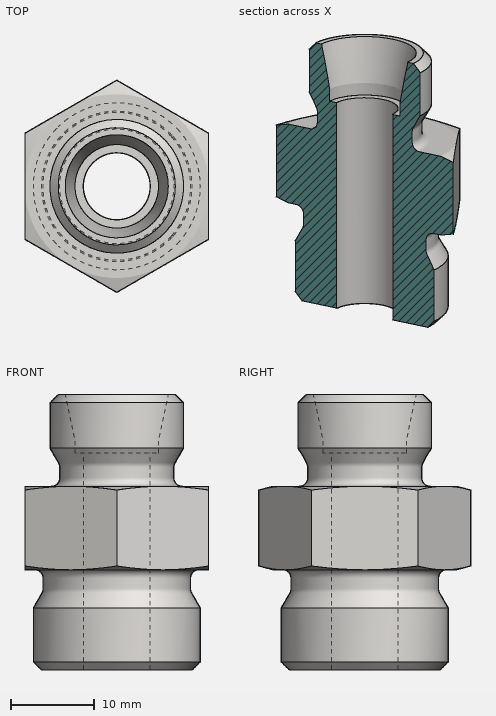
import cadquery as cq
import math

total_height = 33.0
hex_bottom = 12.0
hex_top = 22.0

across_flats = 22.0
across_corners = across_flats / math.cos(math.radians(30))
hex_chamfer_angle = 15.0

upper_thread_diameter = 16.0
upper_neck_diameter = 13.7
lower_thread_diameter = 20.0
lower_neck_diameter = 17.7
undercut_width = 4.55
undercut_fillet = 1.0
undercut_cone_angle = 30.0
end_chamfer = 1.0

bore_diameter = 8.0
socket_diameter = 10.0
socket_depth = 7.0
seat_mouth_diameter = 12.35
seat_half_angle = 12.0


def revolve_about_z(profile):
    """Turn a closed (radius, height) profile about the Z axis."""
    return profile.close().revolve(360, (0, 0, 0), (0, 1, 0))


def make_stud(thread_diameter, neck_diameter, length):
    """Stud rising from z = 0: filleted undercut, conical run-out, thread cylinder, end chamfer."""
    thread_radius = thread_diameter / 2
    neck_radius = neck_diameter / 2
    fillet = undercut_fillet
    cone = math.radians(undercut_cone_angle)
    diagonal = math.sqrt(0.5)

    center_radius = neck_radius + fillet
    cone_corner = undercut_width - (thread_radius - neck_radius) / math.tan(cone)
    neck_end = cone_corner - fillet * math.tan(cone / 2)

    def upper_fillet_point(angle):
        return (center_radius - fillet * math.cos(angle), neck_end + fillet * math.sin(angle))

    profile = (
        cq.Workplane("XZ")
        .moveTo(0, 0)
        .lineTo(center_radius, 0)
        .threePointArc(
            (center_radius - fillet * diagonal, fillet - fillet * diagonal),
            (neck_radius, fillet),
        )
        .lineTo(neck_radius, neck_end)
        .threePointArc(upper_fillet_point(cone / 2), upper_fillet_point(cone))
        .lineTo(thread_radius, undercut_width)
        .lineTo(thread_radius, length - end_chamfer)
        .lineTo(thread_radius - end_chamfer, length)
        .lineTo(0, length)
    )
    return revolve_about_z(profile)


def make_hexagon():
    """Hexagon whose corners are turned down by a shallow cone at both ends."""
    prism = (
        cq.Workplane("XY", origin=(0, 0, hex_bottom))
        .polygon(6, across_corners)
        .extrude(hex_top - hex_bottom)
        .rotate((0, 0, 0), (0, 0, 1), 30)
    )
    face_radius = across_flats / 2
    corner_radius = across_corners / 2
    corner_drop = (corner_radius - face_radius) * math.tan(math.radians(hex_chamfer_angle))
    envelope = (
        cq.Workplane("XZ")
        .moveTo(0, hex_bottom)
        .lineTo(face_radius, hex_bottom)
        .lineTo(corner_radius, hex_bottom + corner_drop)
        .lineTo(corner_radius, hex_top - corner_drop)
        .lineTo(face_radius, hex_top)
        .lineTo(0, hex_top)
    )
    return prism.intersect(revolve_about_z(envelope))


def make_bore():
    """Through bore, flat-bottomed tube socket and tapered seat."""
    bore_radius = bore_diameter / 2
    socket_radius = socket_diameter / 2
    mouth_radius = seat_mouth_diameter / 2
    seat_depth = (mouth_radius - socket_radius) / math.tan(math.radians(seat_half_angle))
    socket_floor = total_height - socket_depth
    profile = (
        cq.Workplane("XZ")
        .moveTo(0, 0)
        .lineTo(bore_radius, 0)
        .lineTo(bore_radius, socket_floor)
        .lineTo(socket_radius, socket_floor)
        .lineTo(socket_radius, total_height - seat_depth)
        .lineTo(mouth_radius, total_height)
        .lineTo(0, total_height)
    )
    return revolve_about_z(profile)


upper_stud = make_stud(
    upper_thread_diameter, upper_neck_diameter, total_height - hex_top
).translate((0, 0, hex_top))

lower_stud = (
    make_stud(lower_thread_diameter, lower_neck_diameter, hex_bottom)
    .mirror("XY")
    .translate((0, 0, hex_bottom))
)

result = make_hexagon().union(upper_stud).union(lower_stud).cut(make_bore())